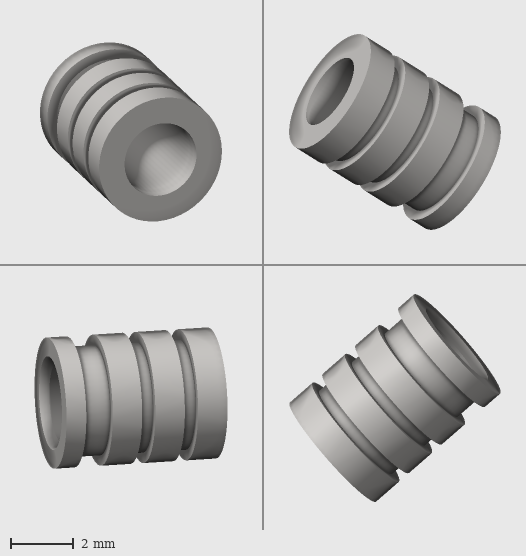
import cadquery as cq

length = 5.3
outer_diameter = 4.2
groove_diameter = 3.53
bore_diameter = 2.46

mouth_diameter = 3.0
mouth_depth = (mouth_diameter - bore_diameter) / 2

end_collar_width = 0.65
wide_groove_width = 0.87
narrow_groove_width = 0.435
land_count = 3
land_width = (
    length - end_collar_width - wide_groove_width - (land_count - 1) * narrow_groove_width
) / land_count

left_end = -length / 2


def cylinder(start, width, diameter):
    """Solid cylinder along +X from the given start position."""
    return cq.Workplane("YZ", origin=(start, 0, 0)).circle(diameter / 2).extrude(width)


def groove(start, width):
    """Ring of material to remove around the outside of the sleeve."""
    ring = cylinder(start, width, outer_diameter)
    return ring.cut(cylinder(start, width, groove_diameter))


result = cylinder(left_end, length, outer_diameter)
result = result.cut(cylinder(left_end, length, bore_diameter))

result = result.faces("<X").edges("%CIRCLE").edges(cq.selectors.RadiusNthSelector(0)).chamfer(mouth_depth)

wide_groove_start = left_end + end_collar_width
result = result.cut(groove(wide_groove_start, wide_groove_width))

first_land_start = wide_groove_start + wide_groove_width
land_pitch = land_width + narrow_groove_width
for index in range(land_count - 1):
    narrow_groove_start = first_land_start + index * land_pitch + land_width
    result = result.cut(groove(narrow_groove_start, narrow_groove_width))